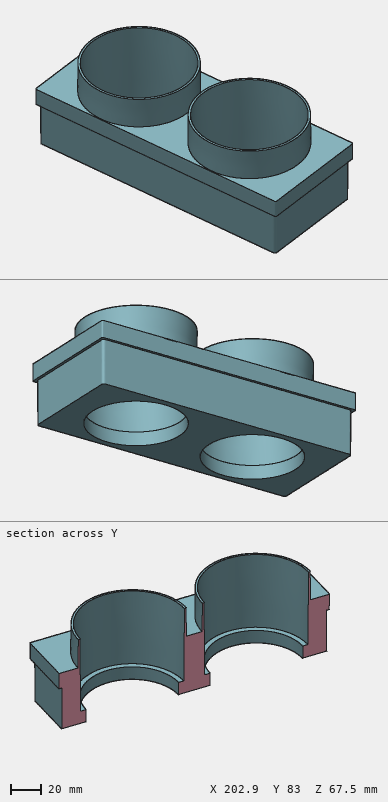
import cadquery as cq
import math

total_height = 67.5
flange_bottom = 32.5
lid_bottom = 43.0
flange_top = 45.0

flange_length = 202.9
flange_width = 83.0
flange_corner_radius = 1.0
flange_overhang = 2.0
plug_length = flange_length - 2 * flange_overhang
plug_width = flange_width - 2 * flange_overhang
plug_corner_radius = 2.0

plug_draft = 0.2
skirt_draft = 0.5
lid_draft = 1.0
socket_draft = 0.5

socket_spacing = 93.0
collar_top_diameter = 81.2
bore_top_diameter = 78.0
stop_height = 10.0
outlet_diameter = 69.3


def make_drafted_block(length, width, height, corner_radius, draft):
    """Block growing up from Z = 0 with rounded corners and sides that lean inward by the draft."""
    outline = cq.Sketch().rect(length, width).vertices().fillet(corner_radius)
    return cq.Workplane("XY").placeSketch(outline).extrude(height, taper=draft)


def make_plug():
    """Lower box, narrowing downward from the flange."""
    plug = make_drafted_block(plug_length, plug_width, flange_bottom, plug_corner_radius, plug_draft)
    return plug.mirror("XY").translate((0, 0, flange_bottom))


def make_flange():
    """Skirt and lid, both narrowing away from the parting line between them."""

    def make_half(height, draft):
        return make_drafted_block(flange_length, flange_width, height, flange_corner_radius, draft)

    skirt = make_half(lid_bottom - flange_bottom, skirt_draft).mirror("XY")
    lid = make_half(flange_top - lid_bottom, lid_draft)
    return skirt.union(lid).translate((0, 0, lid_bottom))


def make_cone(center_x, bottom, bottom_diameter, top_diameter):
    """Cone frustum on a vertical axis, reaching the top of the part."""
    cone = cq.Solid.makeCone(
        bottom_diameter / 2, top_diameter / 2, total_height - bottom, cq.Vector(center_x, 0, bottom)
    )
    return cq.Workplane(cone)


def make_collar(center_x):
    """Outer body of a socket, widening towards the flange."""
    widening = 2 * (total_height - flange_top) * math.tan(math.radians(socket_draft))
    return make_cone(center_x, flange_top, collar_top_diameter + widening, collar_top_diameter)


def make_socket_opening(center_x):
    """Socket bore narrowing down to its stop, with a straight outlet below."""
    narrowing = 2 * (total_height - stop_height) * math.tan(math.radians(socket_draft))
    bore = make_cone(center_x, stop_height, bore_top_diameter - narrowing, bore_top_diameter)
    outlet = cq.Workplane("XY").center(center_x, 0).circle(outlet_diameter / 2).extrude(stop_height)
    return bore.union(outlet)


socket_centers = (-socket_spacing / 2, socket_spacing / 2)

result = make_plug().union(make_flange())
for socket_x in socket_centers:
    result = result.union(make_collar(socket_x))
for socket_x in socket_centers:
    result = result.cut(make_socket_opening(socket_x))